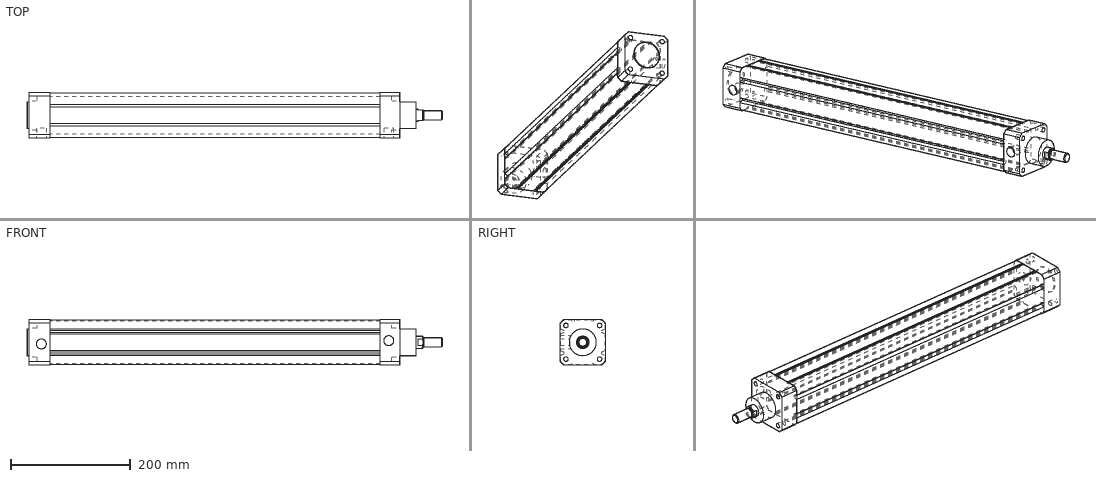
import cadquery as cq

TOTAL_LENGTH = 694.0
BOSS_DIAMETER = 45.0
REAR_BOSS_LENGTH = 3.0
REAR_CAP_LENGTH = 35.5
FRONT_CAP_START = 590.0
FRONT_CAP_LENGTH = 33.0
FRONT_BOSS_LENGTH = 27.0

CAP_SIZE = 76.0
CAP_CHAMFER = 6.0
BOLT_SPACING = 56.0
BOLT_HOLE_DIAMETER = 7.5
BOLT_HOLE_DEPTH = 14.0
PORT_DIAMETER = 17.0
PORT_DEPTH = 17.0
REAR_PORT_X = 23.5
REAR_PORT_Z = -3.0
FRONT_PORT_X = 604.5
FRONT_PORT_Z = 3.0

TUBE_SIZE = 75.0
TUBE_CORNER_RADIUS = 9.0
SIDE_GROOVE_OFFSET = 18.0
SIDE_GROOVE_WIDTH = 8.0
SIDE_GROOVE_FLOOR_WIDTH = 3.0
SIDE_GROOVE_DEPTH = 6.0
TOP_SLOT_OFFSET = 16.0
TOP_SLOT_WIDTH = 4.0
TOP_SLOT_DEPTH = 2.0

SHANK_DIAMETER = 21.0
SHANK_LENGTH = 11.0
SHANK_CHAMFER = 1.0
WRENCH_FLAT_START = 3.5
WRENCH_FLAT_WIDTH = 18.0
THREAD_DIAMETER = 16.0
THREAD_CHAMFER = 1.5
NECK_DIAMETER = 15.0
NECK_LENGTH = 2.0

REAR_CAP_START = REAR_BOSS_LENGTH
TUBE_START = REAR_CAP_START + REAR_CAP_LENGTH
TUBE_LENGTH = FRONT_CAP_START - TUBE_START
FRONT_CAP_END = FRONT_CAP_START + FRONT_CAP_LENGTH
ROD_START = FRONT_CAP_END + FRONT_BOSS_LENGTH
NECK_START = ROD_START + SHANK_LENGTH
THREAD_START = NECK_START + NECK_LENGTH


def section_plane(x):
    """Workplane across the axis at x, with local axes Y and Z and normal +X."""
    return cq.Workplane("YZ", origin=(x, 0, 0))


def make_cap(start, length, boss_start, boss_length, bolt_face, bolt_direction, port_x, port_z):
    """Square end cap with a round boss, four bolt holes in its outer face and a port on -Y."""
    cap = section_plane(start).rect(CAP_SIZE, CAP_SIZE).extrude(length)
    cap = cap.edges("|X").chamfer(CAP_CHAMFER)
    cap = cap.union(section_plane(boss_start).circle(BOSS_DIAMETER / 2).extrude(boss_length))

    bolt_holes = (
        section_plane(bolt_face)
        .rect(BOLT_SPACING, BOLT_SPACING, forConstruction=True)
        .vertices()
        .circle(BOLT_HOLE_DIAMETER / 2)
        .extrude(bolt_direction * BOLT_HOLE_DEPTH)
    )
    port = (
        cq.Workplane("XZ", origin=(port_x, -CAP_SIZE / 2, port_z))
        .circle(PORT_DIAMETER / 2)
        .extrude(-PORT_DEPTH)
    )
    return cap.cut(bolt_holes).cut(port)


def make_side_groove(z):
    """Tapered groove for the -Y face of the tube, centred at height z."""
    surface = -TUBE_SIZE / 2
    floor = surface + SIDE_GROOVE_DEPTH
    return (
        section_plane(TUBE_START)
        .polyline([
            (surface, z - SIDE_GROOVE_WIDTH / 2),
            (floor, z - SIDE_GROOVE_FLOOR_WIDTH / 2),
            (floor, z + SIDE_GROOVE_FLOOR_WIDTH / 2),
            (surface, z + SIDE_GROOVE_WIDTH / 2),
        ])
        .close()
        .extrude(TUBE_LENGTH)
    )


def make_top_slot(y):
    """Straight slot for the +Z face of the tube, centred at y."""
    return (
        section_plane(TUBE_START)
        .center(y, TUBE_SIZE / 2 - TOP_SLOT_DEPTH / 2)
        .rect(TOP_SLOT_WIDTH, TOP_SLOT_DEPTH)
        .extrude(TUBE_LENGTH)
    )


def make_tube():
    """Rounded square profile with two grooves along each of its four faces."""
    tube = section_plane(TUBE_START).rect(TUBE_SIZE, TUBE_SIZE).extrude(TUBE_LENGTH)
    tube = tube.edges("|X").fillet(TUBE_CORNER_RADIUS)
    for side in (-1, 1):
        groove = make_side_groove(side * SIDE_GROOVE_OFFSET)
        slot = make_top_slot(side * TOP_SLOT_OFFSET)
        tube = tube.cut(groove).cut(groove.mirror("XZ"))
        tube = tube.cut(slot).cut(slot.mirror("XY"))
    return tube


def make_rod():
    """Rod end: shank with two wrench flats, thread-relief neck and chamfered thread."""
    shank = section_plane(ROD_START).circle(SHANK_DIAMETER / 2).extrude(SHANK_LENGTH)
    shank = shank.faces(">X").chamfer(SHANK_CHAMFER)
    for side in (-1, 1):
        beyond_flat = (
            section_plane(ROD_START + WRENCH_FLAT_START)
            .center(side * (WRENCH_FLAT_WIDTH + SHANK_DIAMETER) / 2, 0)
            .rect(SHANK_DIAMETER, SHANK_DIAMETER)
            .extrude(SHANK_LENGTH)
        )
        shank = shank.cut(beyond_flat)

    neck = section_plane(NECK_START).circle(NECK_DIAMETER / 2).extrude(NECK_LENGTH)

    thread_length = TOTAL_LENGTH - THREAD_START
    thread = section_plane(THREAD_START).circle(THREAD_DIAMETER / 2).extrude(thread_length)
    thread = thread.faces(">X").chamfer(THREAD_CHAMFER)
    return shank.union(neck).union(thread)


rear_cap = make_cap(
    start=REAR_CAP_START,
    length=REAR_CAP_LENGTH,
    boss_start=0,
    boss_length=REAR_BOSS_LENGTH,
    bolt_face=REAR_CAP_START,
    bolt_direction=1,
    port_x=REAR_PORT_X,
    port_z=REAR_PORT_Z,
)
tube = make_tube()
front_cap = make_cap(
    start=FRONT_CAP_START,
    length=FRONT_CAP_LENGTH,
    boss_start=FRONT_CAP_END,
    boss_length=FRONT_BOSS_LENGTH,
    bolt_face=FRONT_CAP_END,
    bolt_direction=-1,
    port_x=FRONT_PORT_X,
    port_z=FRONT_PORT_Z,
)
rod = make_rod()

bodies = [rear_cap, tube, front_cap, rod]
result = cq.Compound.makeCompound([body.solids().val() for body in bodies])